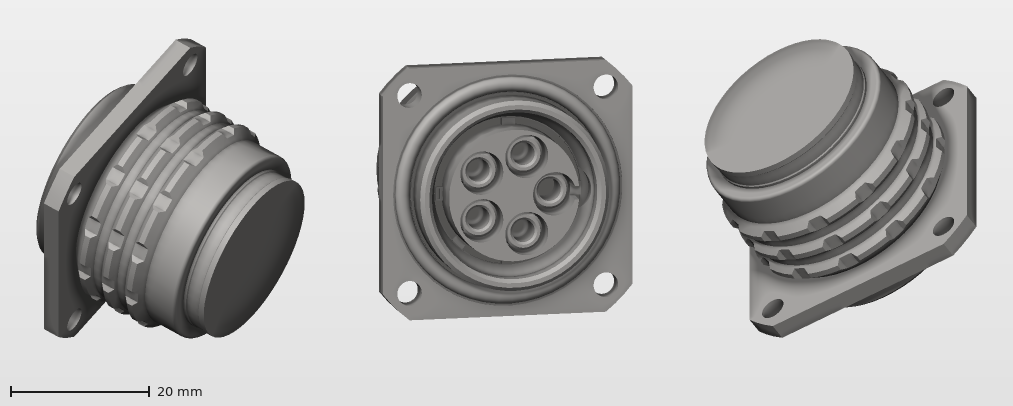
import cadquery as cq
import math

overall_length = 29.0

flange_side = 37.0
flange_front = 4.92
flange_thickness = 2.6
flange_back = flange_front + flange_thickness
flange_corner_radius = 23.55
mount_hole_radius = 1.8
mount_hole_offset = 14.55

shell_radius = 14.0
shell_chamfer = 0.55
mouth_radius = 12.25
mouth_chamfer = 0.5
mouth_depth = 2.63
cone_end_radius = 10.9
cone_end_depth = 4.8
floor_radius = 10.75
floor_depth = 5.18

ring_section_radius = 1.1
ring_radius = 15.58
ring_x = 5.15
groove_inner_radius = 14.35
groove_outer_radius = 17.0
groove_depth = ring_x - flange_front

grip_start_radius = 14.2
grip_floor_radius = 15.25
ridge_radius = 16.2
ridge_start = 9.6
ridge_top_width = 0.9
ridge_pitch = 4.15
ridge_count = 3
ridge_height = ridge_radius - grip_floor_radius

notch_count = 12
notch_floor_radius = 15.55
notch_floor_width = 1.95
notch_top_width = 3.45
notch_clearance = 0.37

barrel_radius = 14.8
barrel_end = 25.45
barrel_edge_radius = 0.5
spigot_radius = 12.7
spigot_groove_radius = 12.55
spigot_groove_start = 25.85
spigot_groove_end = 28.12

insert_radius = 9.65
insert_base_radius = 9.75
insert_face = 0.7
socket_count = 5
socket_circle_radius = 5.95
socket_hole_radius = 3.2
socket_hole_depth = 8.15
contact_radius = 2.8
contact_edge_chamfer = 0.37
contact_face = 2.55
deep_contact_face = 3.65
bore_radius = 1.65
bore_mouth_chamfer = 0.35
bore_length = 4.8
bore_bottom_fillet = 0.63

key_width = 1.95
key_height = 0.75
slot_overlap = 0.37
key_angles = [0, 90, 180, 225, 270]
key_dimple_radius = 10.35
key_dimple_size = 0.37
key_dimple_length = 1.5
scoop_radius = 3.8
scoop_offset = 8.15


def cylinder(radius, start, end, y=0.0, z=0.0):
    """Cylinder along X between two X positions."""
    return cq.Workplane("YZ", origin=(start, y, z)).circle(radius).extrude(end - start)


def block(start, end, y_near, y_far, width):
    """Block along X, centred on z = 0, between two Y positions."""
    size = (end - start, y_far - y_near, width)
    return cq.Workplane("XY").box(*size, centered=(False, False, True)).translate((start, y_near, 0))


def turn(solid, angle):
    """Rotate a solid about the connector axis, from -Y toward +Z for positive angles."""
    return solid.rotate((0, 0, 0), (1, 0, 0), -angle)


def make_shell():
    """Turned outside of the front shell, grip, barrel and spigot."""
    profile = cq.Workplane("XY").lineTo(0, shell_radius - shell_chamfer)
    profile = profile.lineTo(shell_chamfer, shell_radius)
    profile = profile.lineTo(flange_back, shell_radius).lineTo(flange_back, grip_start_radius)
    for index in range(ridge_count):
        top_start = ridge_start + index * ridge_pitch
        top_end = top_start + ridge_top_width
        if index > 0:
            profile = profile.lineTo(top_start - ridge_height, grip_floor_radius)
        profile = profile.lineTo(top_start, ridge_radius).lineTo(top_end, ridge_radius)
        if index < ridge_count - 1:
            profile = profile.lineTo(top_end + ridge_height, grip_floor_radius)
    profile = profile.lineTo(top_end + ridge_radius - barrel_radius, barrel_radius)
    profile = profile.lineTo(barrel_end - barrel_edge_radius, barrel_radius)
    profile = profile.radiusArc((barrel_end, barrel_radius - barrel_edge_radius), barrel_edge_radius)
    spigot_step = spigot_radius - spigot_groove_radius
    profile = (
        profile.lineTo(barrel_end, spigot_radius)
        .lineTo(spigot_groove_start, spigot_radius)
        .lineTo(spigot_groove_start + spigot_step, spigot_groove_radius)
        .lineTo(spigot_groove_end - spigot_step, spigot_groove_radius)
        .lineTo(spigot_groove_end, spigot_radius)
        .lineTo(overall_length, spigot_radius)
        .lineTo(overall_length, 0)
        .close()
    )
    return profile.revolve(360, (0, 0, 0), (1, 0, 0))


def cut_notches(shell):
    """Cut flat-bottomed notches with sloping sides along the whole grip."""
    side_slope = (notch_top_width - notch_floor_width) / 2 / (ridge_radius - notch_floor_radius)
    cut_top = ridge_radius + notch_clearance
    half_floor = notch_floor_width / 2
    half_top = half_floor + side_slope * (cut_top - notch_floor_radius)
    notch = (
        cq.Workplane("YZ", origin=(flange_back, 0, 0))
        .polyline([
            (-notch_floor_radius, -half_floor),
            (-notch_floor_radius, half_floor),
            (-cut_top, half_top),
            (-cut_top, -half_top),
        ])
        .close()
        .extrude(barrel_end - flange_back)
    )
    for index in range(notch_count):
        shell = shell.cut(turn(notch, index * 360 / notch_count))
    return shell


def make_flange():
    """Square flange with rounded-off corners, mounting holes and a ring groove."""
    flange = (
        cq.Workplane("YZ", origin=(flange_front, 0, 0))
        .rect(flange_side, flange_side)
        .extrude(flange_thickness)
        .intersect(cylinder(flange_corner_radius, flange_front, flange_back))
    )
    holes = (
        cq.Workplane("YZ", origin=(flange_front, 0, 0))
        .rect(2 * mount_hole_offset, 2 * mount_hole_offset, forConstruction=True)
        .vertices()
        .circle(mount_hole_radius)
        .extrude(flange_thickness)
    )
    groove = (
        cq.Workplane("YZ", origin=(flange_front, 0, 0))
        .circle(groove_outer_radius)
        .circle(groove_inner_radius)
        .extrude(groove_depth)
    )
    return flange.cut(holes).cut(groove)


def make_sealing_ring():
    """Round-section ring seated in the flange groove."""
    return (
        cq.Workplane("XY")
        .center(ring_x, ring_radius)
        .circle(ring_section_radius)
        .revolve(360, (-ring_x, -ring_radius, 0), (0.37 - ring_x, -ring_radius, 0))
    )


def make_cavity():
    """Mouth of the shell: chamfer, straight bore, cone, sunken floor, and a scoop on the -Y side."""
    cavity = (
        cq.Workplane("XY")
        .polyline([
            (0, 0),
            (0, mouth_radius + mouth_chamfer),
            (mouth_chamfer, mouth_radius),
            (mouth_depth, mouth_radius),
            (cone_end_depth, cone_end_radius),
            (cone_end_depth, floor_radius),
            (floor_depth, floor_radius),
            (floor_depth, 0),
        ])
        .close()
        .revolve(360, (0, 0, 0), (1, 0, 0))
    )
    scoop = cylinder(scoop_radius, mouth_depth, cone_end_depth, y=-scoop_offset)
    return cavity.union(scoop)


def make_contact(face, rounded_bottom):
    """Tubular contact centred on the X axis, with its front face at x = face."""
    tube = cylinder(contact_radius, face, socket_hole_depth)
    tube = tube.faces("<X").chamfer(contact_edge_chamfer)
    bore = cylinder(bore_radius, face, face + bore_length)
    if rounded_bottom:
        bore = bore.faces(">X").edges().fillet(bore_bottom_fillet)
    tube = tube.cut(bore)
    bore_mouth = cq.selectors.RadiusNthSelector(0)
    return tube.faces("<X").edges(bore_mouth).chamfer(bore_mouth_chamfer)


def make_insert():
    """Round insert that tapers slightly toward its front face."""
    return (
        cq.Workplane("XY")
        .polyline([
            (insert_face, 0),
            (insert_face, insert_radius),
            (floor_depth, insert_base_radius),
            (floor_depth, 0),
        ])
        .close()
        .revolve(360, (0, 0, 0), (1, 0, 0))
    )


def cut_sockets(body):
    """Bore the contact holes and set the contacts in them; the contact on the -Y side sits deeper."""
    for index in range(socket_count):
        angle = index * 2 * math.pi / socket_count
        y = -socket_circle_radius * math.cos(angle)
        z = socket_circle_radius * math.sin(angle)
        is_deep = index == 0
        face = deep_contact_face if is_deep else contact_face
        contact = make_contact(face, rounded_bottom=not is_deep).translate((0, y, z))
        body = body.cut(cylinder(socket_hole_radius, insert_face, socket_hole_depth, y, z)).union(contact)
    return body


def add_keys(body):
    """Raised keys on the cavity floor, with one more in a slot of the insert on the -Y side."""
    key_front = floor_depth - key_height
    slot_root = socket_circle_radius + socket_hole_radius - slot_overlap
    slot = block(insert_face, key_front, -insert_base_radius, -slot_root, key_width)
    body = body.cut(slot)
    key = block(key_front, floor_depth, -floor_radius, -insert_radius + slot_overlap, key_width)
    key = key.intersect(cylinder(floor_radius, key_front, floor_depth))
    for angle in key_angles:
        body = body.union(turn(key, angle))
    dimple_start = key_dimple_radius - key_dimple_size / 2
    dimple_end = dimple_start + key_dimple_size
    dimple = block(key_front, key_front + key_dimple_size, dimple_start, dimple_end, key_dimple_length)
    return body.cut(dimple)


shell = cut_notches(make_shell())
body = shell.union(make_flange()).union(make_sealing_ring()).cut(make_cavity())
body = body.union(make_insert())
result = add_keys(cut_sockets(body))